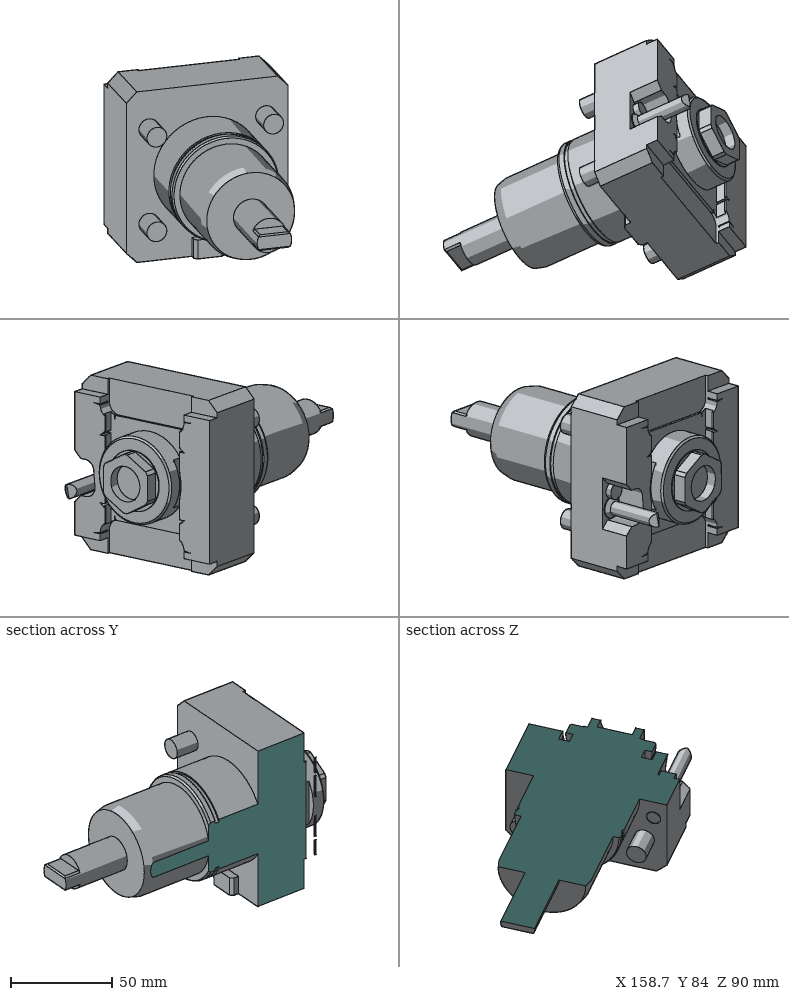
import cadquery as cq
import math


block_width = 84.0
block_height = 90.0
corner_chamfer = 5.4
body_front = -30.2
rail_front = -36.3
rail_height = 74.0

channel_width = 46.3
lip_thickness = 1.0
undercut_width = 48.2
undercut_height = 57.5
clearance_radius = 24.3
pocket_floor = -28.7
pocket_width = 52.0
pocket_start = 27.0
pocket_corner_radius = 5.9
notch_start = 17.5
notch_height = 2.2
notch_depth = 2.9
relief_thickness = 0.6
rail_relief_length = 4.0
pad_relief_length = 2.0
pad_relief_y = 21.7

collar_flats = 37.8
collar_radius = 22.5
flats_front = -35.4
collar_front = -42.7
collar_chamfer = 1.0
washer_radius = 15.5
washer_front = -43.2
nut_front = -50.0
nut_flats = 27.3
nut_corner_diameter = 30.3
nut_bore_radius = 9.0
nut_bore_depth = 5.2

collar_shank_radius = 27.8
groove_start = 24.3
groove_end = 26.5
groove_depth = 0.8
seal_rim_end = 29.4
seal_bevel_radius = 27.1
shank_start = 30.6
shank_radius = 24.1
taper_start = 65.0
shank_end = 69.8
shank_end_radius = 22.9
shaft_diameter = 18.0
shaft_end = 107.9
tang_start = 98.7
tang_thickness = 8.3
tang_chamfer = 0.8

bolt_diameter = 10.3
bolt_length = 12.9
bolt_y = 30.3
bolt_z = 24.9
key_length = 4.5
key_height = 10.0
key_width = 15.9
key_chamfer = 1.6

pin_y = 35.0
pin_z = -10.0
pin_radius = 3.7
pin_tip = -50.8
pin_rear = 0.3
pin_tip_slope = 0.7
pin_ridge_tilt = 12.0
pin_base_radius = 5.5
pin_base_height = 2.4
plug_z = -1.1
plug_radius = 4.1
plug_height = 3.2
recess_depth = 15.9
recess_low_radius = 5.9
recess_high_radius = 4.9
recess_high_z = -1.7
recess_mouth_y = 38.1


def extrude_x(sketch, start, end):
    """Extrude a YZ sketch, drawn as a function of a workplane, from X = start to X = end."""
    return sketch(cq.Workplane("YZ", origin=(start, 0, 0))).extrude(end - start)


def box_x(start, end, width, height, y=0, z=0):
    return extrude_x(lambda plane: plane.center(y, z).rect(width, height), start, end)


def cylinder_x(start, end, radius, y=0, z=0):
    return extrude_x(lambda plane: plane.center(y, z).circle(radius), start, end)


def prism_x(start, end, points):
    return extrude_x(lambda plane: plane.polyline(points).close(), start, end)


def mirrored_four_ways(shape):
    """Repeat a shape on both sides of the XZ and XY planes."""
    pair = shape.union(shape.mirror("XZ"))
    return pair.union(pair.mirror("XY"))


def make_housing():
    body = box_x(body_front, 0, block_width, block_height).edges("|X").chamfer(corner_chamfer)
    rails = box_x(rail_front, body_front, block_width, rail_height)
    lip_rear = rail_front + lip_thickness
    channel = box_x(rail_front, body_front, channel_width, rail_height)
    undercut = box_x(lip_rear, body_front, undercut_width, undercut_height)
    clearance = cylinder_x(rail_front, body_front, clearance_radius)
    housing = body.union(rails.cut(channel).cut(undercut).cut(clearance))

    pocket_height = block_height / 2 - pocket_start
    pocket = box_x(rail_front, pocket_floor, pocket_width, pocket_height, z=pocket_start + pocket_height / 2)
    pocket = pocket.edges("|X and <Z").fillet(pocket_corner_radius)
    housing = housing.cut(pocket).cut(pocket.mirror("XY"))
    return housing.cut(mirrored_four_ways(make_channel_reliefs()))


def make_channel_reliefs():
    """Notch and thin tapered slots for the +Y, +Z quarter of the channel."""
    wall = channel_width / 2
    notch = prism_x(rail_front, body_front, [
        (wall, notch_start),
        (wall + notch_depth, notch_start),
        (wall, notch_start + notch_height),
    ])

    pocket_wall = pocket_width / 2
    slot_z = pocket_start + pocket_corner_radius + relief_thickness
    rail_slot = prism_x(rail_front, body_front, [
        (pocket_wall, slot_z - relief_thickness),
        (pocket_wall + rail_relief_length, slot_z),
        (pocket_wall, slot_z),
    ])
    pad_slot = prism_x(body_front, pocket_floor, [
        (pad_relief_y, pocket_start),
        (pad_relief_y, pocket_start - pad_relief_length),
        (pad_relief_y - relief_thickness, pocket_start),
    ])
    return notch.union(rail_slot).union(pad_slot)


def make_nose():
    collar = cylinder_x(collar_front, body_front, collar_radius).faces("<X").chamfer(collar_chamfer)
    collar_head = box_x(collar_front, flats_front, 2 * collar_radius, 2 * collar_radius)
    flatted_neck = box_x(flats_front, body_front, collar_flats, 2 * collar_radius)
    collar = collar.intersect(collar_head.union(flatted_neck))
    washer = cylinder_x(washer_front, collar_front, washer_radius)

    across_corners = nut_flats / math.cos(math.pi / 6)
    hexagon = extrude_x(lambda plane: plane.polygon(6, across_corners), nut_front, washer_front)
    hexagon = hexagon.rotate((0, 0, 0), (1, 0, 0), 30)
    nut = hexagon.intersect(cylinder_x(nut_front, washer_front, nut_corner_diameter / 2))
    nut = nut.cut(cylinder_x(nut_front, nut_front + nut_bore_depth, nut_bore_radius))
    return collar.union(washer).union(nut)


def make_shank():
    profile = [
        (0, 0),
        (0, collar_shank_radius),
        (groove_start, collar_shank_radius),
        (groove_start, collar_shank_radius - groove_depth),
        (groove_end, seal_bevel_radius),
        (groove_end, collar_shank_radius),
        (seal_rim_end, collar_shank_radius),
        (shank_start, seal_bevel_radius),
        (shank_start, shank_radius),
        (taper_start, shank_radius),
        (shank_end, shank_end_radius),
        (shank_end, 0),
    ]
    return cq.Workplane("XY").polyline(profile).close().revolve(360, (0, 0, 0), (1, 0, 0))


def make_drive_shaft():
    shaft = cylinder_x(shank_end, tang_start, shaft_diameter / 2)
    tang = cylinder_x(tang_start, shaft_end, shaft_diameter / 2)
    tang = tang.intersect(box_x(tang_start, shaft_end, shaft_diameter, tang_thickness))
    outer_edges = tang.faces("<Z or >Z").edges("|X or >X")
    return shaft.union(outer_edges.chamfer(tang_chamfer))


def make_bolts():
    return mirrored_four_ways(cylinder_x(0, bolt_length, bolt_diameter / 2, bolt_y, bolt_z))


def make_key():
    key = box_x(0, key_length, key_width, key_height, z=(key_height - block_height) / 2)
    return key.edges("|Z and >X").chamfer(key_chamfer)


def make_recess():
    """Pin recess: two rounds joined by their common tangent, flaring out to the +Y side."""
    span = recess_high_z - pin_z
    tangent = math.asin((recess_low_radius - recess_high_radius) / span)

    def round_point(z, radius, angle):
        return (pin_y - radius * math.cos(angle), z + radius * math.sin(angle))

    top = recess_high_z + recess_high_radius
    bottom = pin_z - recess_low_radius
    side = block_width / 2
    flare = side - recess_mouth_y
    high_mid = (tangent + math.pi / 2) / 2
    low_mid = (tangent - math.pi / 2) / 2

    def outline(plane):
        return (
            plane.moveTo(side, top + flare)
            .lineTo(recess_mouth_y, top)
            .lineTo(pin_y, top)
            .threePointArc(
                round_point(recess_high_z, recess_high_radius, high_mid),
                round_point(recess_high_z, recess_high_radius, tangent),
            )
            .lineTo(*round_point(pin_z, recess_low_radius, tangent))
            .threePointArc(round_point(pin_z, recess_low_radius, low_mid), (pin_y, bottom))
            .lineTo(recess_mouth_y, bottom)
            .lineTo(side, bottom - flare)
            .close()
        )

    return extrude_x(outline, rail_front, rail_front + recess_depth)


def make_pin():
    """Locating pin with a chisel tip, a tapered base and a round plug beside it."""
    floor = rail_front + recess_depth
    tip_drop = pin_tip_slope * pin_radius
    chisel = (
        cq.Workplane("XY", origin=(0, 0, -pin_radius))
        .polyline([
            (pin_tip, 0),
            (pin_tip + tip_drop, pin_radius),
            (pin_rear, pin_radius),
            (pin_rear, -pin_radius),
            (pin_tip + tip_drop, -pin_radius),
        ])
        .close()
        .extrude(2 * pin_radius)
        .rotate((0, 0, 0), (1, 0, 0), -pin_ridge_tilt)
    )
    pin = cylinder_x(pin_tip, pin_rear, pin_radius).intersect(chisel).translate((0, pin_y, pin_z))
    base = cylinder_x(floor - pin_base_height, floor, pin_base_radius, pin_y, pin_z)
    base = base.faces("<X").chamfer(pin_base_radius - pin_radius)
    plug = cylinder_x(floor - plug_height, floor, plug_radius, pin_y, plug_z)
    return pin.union(base).union(plug)


result = (
    make_housing()
    .cut(make_recess())
    .union(make_pin())
    .union(make_nose())
    .union(make_shank())
    .union(make_drive_shaft())
    .union(make_bolts())
    .union(make_key())
)